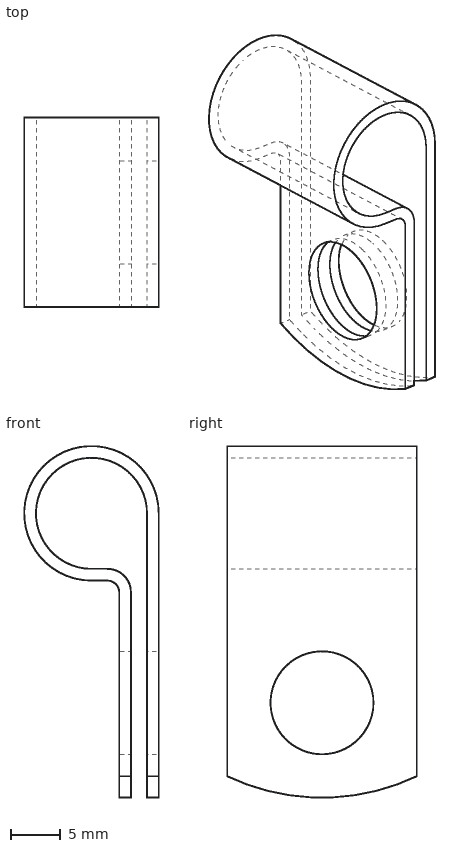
import cadquery as cq
import math

height = 35.35
loop_diameter = 13.55
strip_width = 19.05
thickness = 1.2

leg_gap = 1.6
bend_outer_radius = 2.37
hole_diameter = 10.32
hole_above_tip = 9.55
tip_rise = 2.15

outer_radius = loop_diameter / 2
inner_radius = outer_radius - thickness
bend_inner_radius = bend_outer_radius - thickness
bottom = outer_radius - height
short_leg_outer = inner_radius - leg_gap
short_leg_inner = short_leg_outer - thickness
bend_x = short_leg_outer - bend_outer_radius
bend_z = -inner_radius - bend_outer_radius
diagonal = math.sqrt(0.5)


def strip_profile():
    """Side profile of the strip: long leg, loop, reverse bend and short leg."""
    return (
        cq.Workplane("XZ")
        .moveTo(outer_radius, bottom)
        .lineTo(outer_radius, 0)
        .threePointArc((-outer_radius * diagonal, outer_radius * diagonal), (0, -outer_radius))
        .lineTo(bend_x, -outer_radius)
        .threePointArc(
            (bend_x + bend_inner_radius * diagonal, bend_z + bend_inner_radius * diagonal),
            (short_leg_inner, bend_z),
        )
        .lineTo(short_leg_inner, bottom)
        .lineTo(short_leg_outer, bottom)
        .lineTo(short_leg_outer, bend_z)
        .threePointArc(
            (bend_x + bend_outer_radius * diagonal, bend_z + bend_outer_radius * diagonal),
            (bend_x, -inner_radius),
        )
        .lineTo(0, -inner_radius)
        .threePointArc((-inner_radius * diagonal, inner_radius * diagonal), (inner_radius, 0))
        .lineTo(inner_radius, bottom)
        .close()
    )


def face_outline():
    """Outline across the strip width, rounded at the leg tips, spanning the whole clamp."""
    half_width = strip_width / 2
    corner_z = bottom + tip_rise
    return (
        cq.Workplane("YZ")
        .moveTo(-half_width, outer_radius)
        .lineTo(-half_width, corner_z)
        .threePointArc((0, bottom), (half_width, corner_z))
        .lineTo(half_width, outer_radius)
        .close()
        .extrude(outer_radius, both=True)
    )


def bolt_hole():
    """Cylinder along X that pierces both legs."""
    return (
        cq.Workplane("YZ")
        .center(0, bottom + hole_above_tip)
        .circle(hole_diameter / 2)
        .extrude(outer_radius, both=True)
    )


strip = strip_profile().extrude(strip_width / 2, both=True)
result = strip.intersect(face_outline()).cut(bolt_hole())